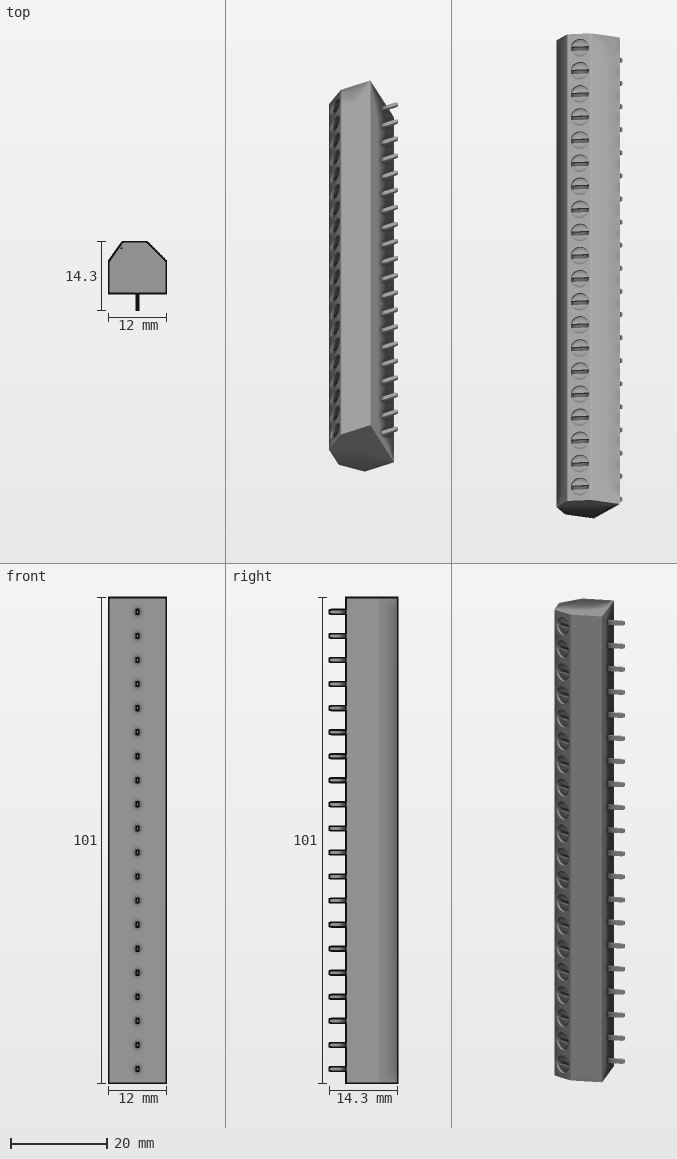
import cadquery as cq

pole_count = 20
pitch = 5.0
end_wall = 0.5
width = 12.0
depth = 10.8
height = pole_count * pitch + 2 * end_wall

screw_slope_x = 2.9
screw_slope_y = 4.1
plain_slope = 4.1
slope_edge_radius = 0.5

screw_diameter = 3.8
screw_offset = 0.15
screw_recess_depth = 0.6
slot_width = 0.9
slot_depth = 0.8

pin_length = 3.5
pin_thickness = 0.5
pin_width = 1.0
pin_tip_length = 0.5
pin_tip_inset = 0.15

half_width = width / 2
pole_heights = [end_wall + pitch * (index + 0.5) for index in range(pole_count)]


def make_housing():
    """Block with two sloped rear edges, rounded where the slopes begin and end."""
    outline = [
        (-half_width, 0),
        (half_width, 0),
        (half_width, depth - plain_slope),
        (half_width - plain_slope, depth),
        (-half_width + screw_slope_x, depth),
        (-half_width, depth - screw_slope_y),
    ]
    block = cq.Workplane("XY").polyline(outline).close().extrude(height)
    return block.edges("|Z").edges("not <Y").fillet(slope_edge_radius)


def screw_axis_workplane(z):
    """Workplane on the screw slope: local x runs up the slope, the normal points outward."""
    slope_plane = cq.Plane(
        origin=(-half_width + screw_slope_x / 2, depth - screw_slope_y / 2, z),
        xDir=(screw_slope_x, screw_slope_y, 0),
        normal=(-screw_slope_y, screw_slope_x, 0),
    )
    return cq.Workplane(slope_plane).center(-screw_offset, 0)


def make_screw_recess(z):
    """Round hole down to the screw head, with the driver slot running right across the head."""
    total_depth = screw_recess_depth + slot_depth
    recess = screw_axis_workplane(z).circle(screw_diameter / 2).extrude(-screw_recess_depth)
    deep_hole = screw_axis_workplane(z).circle(screw_diameter / 2).extrude(-total_depth)
    slot_bar = screw_axis_workplane(z).rect(screw_diameter, slot_width).extrude(-total_depth)
    return recess.union(deep_hole.intersect(slot_bar))


def make_pin(z):
    """Flat pin standing out from the front face, with a tapered tip."""
    half_pin = pin_width / 2
    half_tip = half_pin - pin_tip_inset
    shoulder_y = pin_tip_length - pin_length
    outline = [
        (0, -half_pin),
        (0, half_pin),
        (shoulder_y, half_pin),
        (-pin_length, half_tip),
        (-pin_length, -half_tip),
        (shoulder_y, -half_pin),
    ]
    profile = cq.Workplane("YZ", origin=(0, 0, z)).polyline(outline).close()
    return profile.extrude(pin_thickness / 2, both=True)


result = make_housing()
for pole_height in pole_heights:
    result = result.cut(make_screw_recess(pole_height))
    result = result.union(make_pin(pole_height))